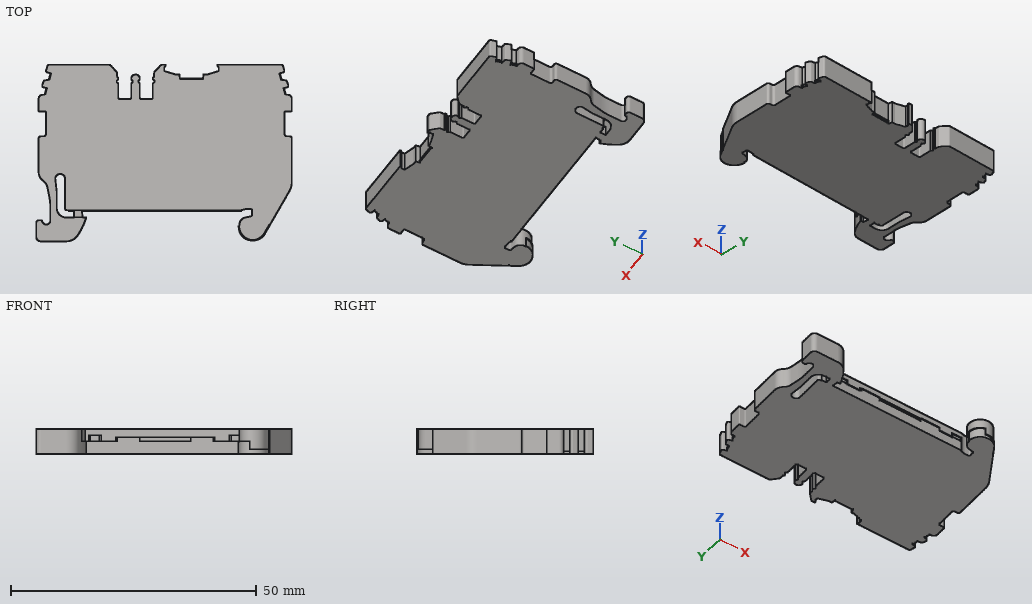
import cadquery as cq
import math

LENGTH = 52.18
DEPTH = 36.07
THICKNESS = 5.15
BODY_HALF = 25.84
TOP_Y = DEPTH / 2
BOTTOM_Y = -DEPTH / 2
SMALL_ROUND = 0.2
FOOT_END_X = BODY_HALF - LENGTH

PARTING_Z = 2.62
WEB_Z = 0.62
LEDGE = 0.16

TOOTH_STEP = (0.84, -3.02)
TOOTH_COUNT = 2
TOOTH_TIP = (24.42, 16.5)
GROOVE_TOP = (23.25, 16.2)
GROOVE_BOTTOM = (23.6, 14.98)
NEXT_TOOTH_TOP = (24.73, 14.82)
TOOTH_ROUND = 0.4
SHOULDER_ROUND = 0.85
TOP_CORNER = (23.95, TOP_Y)
SIDE_RECESS_X = 24.33
SIDE_RECESS_TOP = 8.47
SIDE_RECESS_BOTTOM = 3.44
SIDE_RECESS_ROUND = 0.5

SLOTS_X = -6.05
SLOT_OUTER = 3.5
MOUTH_TOP = (5.25, TOP_Y)
MOUTH_THROAT = (3.78, 16.5)
MOUTH_END = (3.72, 15.5)
MOUTH_ROUND = 0.4
SLOT_BUMP = (SLOT_OUTER, 15.35)
SLOT_FLOOR_Y = 11.03
SLOT_ROUND = 0.25
POST_HALF = 0.9
POST_TOP_Y = 16.02
POST_ROUND = 0.85
SNAP_Y = 14.6
SNAP_HALF_MOUTH = 0.42
SNAP_HALF_FLOOR = 0.15
SNAP_DEPTH = 0.33
POST_SNAP_DEPTH = 0.25

SEAT_X = 5.35
SEAT_FLOOR_Y = 15.06
SEAT_FLOOR_HALF = 2.3
SEAT_STEP_Y = 16.02
SEAT_STEP_HALF = 2.45
SEAT_RAMP_FOOT = 3.2
SEAT_RAMP_TOP_Y = 16.74
SEAT_UNDERCUT_HALF = 5.53
SEAT_UNDERCUT_TOP_Y = 17.5
SEAT_LIP_HALF = 5.24
SEAT_LIP_Y = 17.75

RAIL_Y = -11.68
FOOT_TOP_Y = -13.13
FOOT_TIP_X = -16.11
FOOT_TIP_Y = -13.3
FOOT_CURVE = (-16.82, -15.3)
FOOT_CURVE_ROUND = 14.0
FOOT_BEND = (-17.05, -15.45)
FOOT_CUT_TOP_Y = -13.6
FOOT_NOSE = (-18.7, BOTTOM_Y)
FOOT_NOSE_ROUND = 2.8
SLIT_RIGHT_X = -20.45
SLIT_END_Y = -4.3
SLIT_ROUND = 0.9
SLIT_LEFT_X = -22.5
SLIT_FLARE_Y = -7.8
RAIL_CORNER_ROUND = 0.4
ARM_INNER_X = -22.1
ARM_OUTER_X = -23.45
CATCH_FLOOR_Y = -14.55
CATCH_FLOOR_X = -24.95
CATCH_MOUTH_X = -25.15
CATCH_INNER_ROUND = 0.75
CATCH_OUTER_ROUND = 0.9
FOOT_SHELF_Y = -13.65
FOOT_SHELF_ROUND = 0.65
FOOT_HEEL_ROUND = 1.0
ARM_ROOT_ROUND = 1.95
ARM_CURVE_Y = -9.97
ARM_CURVE_ROUND = 10.5
ARM_SHOULDER = (-24.2, -6.2)
ARM_SHOULDER_ROUND = 2.2
END_FACE_FOOT_Y = -4.96
RAIL_END_X = 15.5

HOOK_CENTER = (17.83, -14.97)
HOOK_RADIUS = 2.74
HOOK_OUTER_RADIUS = HOOK_RADIUS + LEDGE
HOOK_SLANT = math.radians(60)
HOOK_THROAT_X = 17.67
HOOK_THROAT_TOP = -11.45
HOOK_RAMP_X = 16.4
HOOK_THROAT_BOTTOM = -12.83
HOOK_LIP_Y = -13.38
HOOK_LIP_ROUND = 1.6
HOOK_SHOULDER_ROUND = 4.0
HOOK_WINDOW_X = (17.2, 21.31)
HOOK_WINDOW_Z = 0.98

LEDGE_START_X = -19.7
TAB_HALF = 10.06
TAB_TOP_Z = 3.42
TAB_BEVEL = 0.3
TAB_GAP_HALF = 5.2
POCKET_NEAR_X = 13.09
POCKET_FAR_X = 15.6
POCKET_TOP_Z = 3.83
POCKET_BEVEL = 0.33
STRUT_ROOT_X = (-18.62, -16.98)
STRUT_FOOT_X = (-18.62, -16.8)

TOUCHING = 1e-6


def toward(start, end, distance):
    """Point at the given distance from start along the line to end."""
    ratio = distance / math.hypot(end[0] - start[0], end[1] - start[1])
    return (start[0] + ratio * (end[0] - start[0]), start[1] + ratio * (end[1] - start[1]))


def prism(corners, bottom, top):
    """Extruded polygon; a corner (x, y, radius) is rounded, a corner (x, y) is sharp."""
    path = cq.Workplane("XY", (0, 0, bottom))
    last = None
    for i, corner in enumerate(corners):
        point = corner[:2]
        start = end = point
        if len(corner) == 3:
            radius = corner[2]
            before = corners[i - 1][:2]
            after = corners[(i + 1) % len(corners)][:2]
            unit_in = toward(point, before, 1)
            unit_out = toward(point, after, 1)
            half_angle = math.asin(math.dist(unit_in, unit_out) / 2)
            run = radius / math.tan(half_angle)
            start = toward(point, before, run)
            end = toward(point, after, run)
            bisector = ((unit_in[0] + unit_out[0]) / 2, (unit_in[1] + unit_out[1]) / 2)
            middle = toward(point, bisector, radius / math.sin(half_angle) - radius)
        if last is None:
            path = path.moveTo(*start)
        elif math.dist(last, start) > TOUCHING:
            path = path.lineTo(*start)
        if end != start:
            path = path.threePointArc(middle, end)
        last = end
    return path.close().extrude(top - bottom)


def box(x_range, y_range, z_range):
    """Axis-aligned block between the given limits."""
    sizes = [high - low for low, high in (x_range, y_range, z_range)]
    return cq.Workplane("XY", (x_range[0], y_range[0], z_range[0])).box(*sizes, centered=False)


def mirrored(corners):
    """Corners reflected in the line X = 0, in reverse order."""
    return [(-c[0], *c[1:]) for c in reversed(corners)]


def shifted(corners, offset):
    """Corners moved along X."""
    return [(c[0] + offset, *c[1:]) for c in corners]


def tooth_offset(point, index):
    """Point of the first tooth moved to the tooth with the given index."""
    return (point[0] + index * TOOTH_STEP[0], point[1] + index * TOOTH_STEP[1])


def end_profile():
    """Right end from the top down to the lower corner of the side recess."""
    corners = [(*TOP_CORNER, TOOTH_ROUND)]
    for i in range(TOOTH_COUNT):
        corners.append((*tooth_offset(TOOTH_TIP, i), TOOTH_ROUND))
        corners.append(tooth_offset(GROOVE_TOP, i))
        corners.append(tooth_offset(GROOVE_BOTTOM, i))
        if i < TOOTH_COUNT - 1:
            corners.append((*tooth_offset(NEXT_TOOTH_TOP, i), TOOTH_ROUND))
    corners += [
        (BODY_HALF, tooth_offset(NEXT_TOOTH_TOP, TOOTH_COUNT - 1)[1], SHOULDER_ROUND),
        (BODY_HALF, SIDE_RECESS_TOP, SMALL_ROUND),
        (SIDE_RECESS_X, SIDE_RECESS_TOP, SMALL_ROUND),
        (SIDE_RECESS_X, SIDE_RECESS_BOTTOM, SIDE_RECESS_ROUND),
        (BODY_HALF, SIDE_RECESS_BOTTOM, SIDE_RECESS_ROUND),
    ]
    return corners


def snap_groove(wall_x, floor_x):
    """Small groove in a slot wall, from its upper to its lower edge."""
    return [
        (wall_x, SNAP_Y + SNAP_HALF_MOUTH),
        (floor_x, SNAP_Y + SNAP_HALF_FLOOR),
        (floor_x, SNAP_Y - SNAP_HALF_FLOOR),
        (wall_x, SNAP_Y - SNAP_HALF_MOUTH),
    ]


def slots_profile():
    """Both slots and the post between them, from left to right."""
    wall = [
        (*MOUTH_TOP, MOUTH_ROUND),
        (*MOUTH_THROAT, MOUTH_ROUND),
        MOUTH_END,
        SLOT_BUMP,
    ]
    wall += snap_groove(SLOT_OUTER, SLOT_OUTER + SNAP_DEPTH)
    wall += [(SLOT_OUTER, SLOT_FLOOR_Y, SLOT_ROUND), (POST_HALF, SLOT_FLOOR_Y, SLOT_ROUND)]
    wall += reversed(snap_groove(POST_HALF, POST_HALF - POST_SNAP_DEPTH))
    wall += [(POST_HALF, POST_TOP_Y, POST_ROUND)]
    return shifted(mirrored(wall[::-1]) + wall[::-1], SLOTS_X)


def seat_profile():
    """Marker seat, from left to right."""
    right = [
        (SEAT_FLOOR_HALF, SEAT_FLOOR_Y),
        (SEAT_STEP_HALF, SEAT_STEP_Y),
        (SEAT_RAMP_FOOT, SEAT_STEP_Y),
        (SEAT_UNDERCUT_HALF, SEAT_RAMP_TOP_Y),
        (SEAT_UNDERCUT_HALF, SEAT_UNDERCUT_TOP_Y),
        (SEAT_LIP_HALF, SEAT_LIP_Y),
        (SEAT_LIP_HALF, TOP_Y),
    ]
    return shifted(mirrored(right) + right, SEAT_X)


def hook_back(radius, x):
    """Point at the given X on the straight back, tangent to a hook of the given radius."""
    normal = (math.sin(HOOK_SLANT), -math.cos(HOOK_SLANT))
    touch = (HOOK_CENTER[0] + radius * normal[0], HOOK_CENTER[1] + radius * normal[1])
    return (x, touch[1] + (x - touch[0]) * math.tan(HOOK_SLANT))


def hook_bottom(radius):
    """Corner where the straight back meets the level of the hook's lowest point."""
    y = HOOK_CENTER[1] - radius
    back = hook_back(radius, HOOK_CENTER[0])
    return (HOOK_CENTER[0] + (y - back[1]) / math.tan(HOOK_SLANT), y, radius)


def hook_profile():
    """Hook from the right end face round to the rail face."""
    front_x = HOOK_CENTER[0] - HOOK_RADIUS
    return [
        (*hook_back(HOOK_OUTER_RADIUS, BODY_HALF), HOOK_SHOULDER_ROUND),
        hook_back(HOOK_OUTER_RADIUS, HOOK_WINDOW_X[1]),
        hook_back(HOOK_RADIUS, HOOK_WINDOW_X[1] - LEDGE),
        hook_bottom(HOOK_RADIUS),
        (front_x, HOOK_CENTER[1] - HOOK_RADIUS, HOOK_RADIUS),
        (front_x, HOOK_LIP_Y, HOOK_LIP_ROUND),
        (HOOK_THROAT_X, HOOK_THROAT_BOTTOM, SMALL_ROUND),
        (HOOK_THROAT_X, HOOK_THROAT_TOP, SMALL_ROUND),
        (HOOK_RAMP_X, HOOK_THROAT_TOP),
        (RAIL_END_X, RAIL_Y),
    ]


def foot_profile():
    """Slit, snap foot and flexible arm, from the rail face round to the left end face."""
    return [
        (SLIT_RIGHT_X, RAIL_Y, RAIL_CORNER_ROUND),
        (SLIT_RIGHT_X, SLIT_END_Y, SLIT_ROUND),
        (SLIT_LEFT_X, SLIT_END_Y, SLIT_ROUND),
        (ARM_INNER_X, SLIT_FLARE_Y),
        (ARM_INNER_X, FOOT_TOP_Y, ARM_ROOT_ROUND),
        (FOOT_TIP_X, FOOT_TOP_Y),
        (FOOT_TIP_X, FOOT_TIP_Y),
        (*FOOT_CURVE, FOOT_CURVE_ROUND),
        (*FOOT_NOSE, FOOT_NOSE_ROUND),
        (FOOT_END_X, BOTTOM_Y, FOOT_HEEL_ROUND),
        (FOOT_END_X, FOOT_SHELF_Y, FOOT_SHELF_ROUND),
        (CATCH_MOUTH_X, FOOT_SHELF_Y, SMALL_ROUND),
        (CATCH_FLOOR_X, CATCH_FLOOR_Y, CATCH_OUTER_ROUND),
        (ARM_OUTER_X, CATCH_FLOOR_Y, CATCH_INNER_ROUND),
        (ARM_OUTER_X, ARM_CURVE_Y, ARM_CURVE_ROUND),
        (*ARM_SHOULDER, ARM_SHOULDER_ROUND),
        (-BODY_HALF, END_FACE_FOOT_Y, ARM_SHOULDER_ROUND),
    ]


def housing():
    """Full-thickness plate with the complete outline."""
    end = end_profile()
    outline = slots_profile() + seat_profile() + end + hook_profile() + foot_profile() + mirrored(end)
    return prism(outline, 0, THICKNESS)


def groove_webs():
    """Thin webs standing proud of the groove floors and the marker seat floor."""
    webs = box(
        (SEAT_X - SEAT_FLOOR_HALF, SEAT_X + SEAT_FLOOR_HALF),
        (SEAT_FLOOR_Y - LEDGE, SEAT_FLOOR_Y + LEDGE),
        (0, WEB_Z),
    )
    for i in range(TOOTH_COUNT):
        top = tooth_offset(GROOVE_TOP, i)
        bottom = tooth_offset(GROOVE_BOTTOM, i)
        web = shifted([top, bottom], LEDGE) + shifted([bottom, top], -LEDGE)
        webs = webs.union(prism(web, 0, WEB_Z)).union(prism(mirrored(web), 0, WEB_Z))
    return webs


def rail_ledge():
    """Proud lower half of the rail face, with a higher bevelled tab in the middle."""
    y_range = (RAIL_Y - LEDGE, RAIL_Y + LEDGE)
    ledge = box((LEDGE_START_X, RAIL_END_X), y_range, (0, PARTING_Z))
    front_half = TAB_HALF - TAB_BEVEL
    tab = [
        (-TAB_HALF, RAIL_Y),
        (-front_half, RAIL_Y - LEDGE),
        (front_half, RAIL_Y - LEDGE),
        (TAB_HALF, RAIL_Y),
    ]
    return ledge.union(prism(tab, 0, TAB_TOP_Z))


def tab_gap():
    """Gap in the middle of the tab, sunk slightly into the rail face."""
    y_range = (RAIL_Y - LEDGE, RAIL_Y + LEDGE)
    return box((-TAB_GAP_HALF, TAB_GAP_HALF), y_range, (PARTING_Z, TAB_TOP_Z))


def rail_pocket():
    """Shallow pocket above the parting level on the right, with bevelled side walls."""
    corners = [
        (POCKET_NEAR_X, RAIL_Y),
        (POCKET_NEAR_X + POCKET_BEVEL, RAIL_Y + LEDGE),
        (POCKET_FAR_X - POCKET_BEVEL, RAIL_Y + LEDGE),
        (POCKET_FAR_X, RAIL_Y),
    ]
    return prism(corners, PARTING_Z, POCKET_TOP_Z)


def foot_cut():
    """Relief that sets the tip of the foot back above the parting level."""
    cut_x = FOOT_TIP_X - LEDGE
    corners = [
        FOOT_BEND,
        (cut_x, FOOT_CUT_TOP_Y),
        (cut_x, FOOT_TOP_Y),
        (FOOT_TIP_X, FOOT_TOP_Y),
        (FOOT_TIP_X, FOOT_BEND[1]),
    ]
    return prism(corners, PARTING_Z, THICKNESS)


def strut():
    """Bar joining the foot to the rail face below the parting level."""
    corners = [
        (STRUT_ROOT_X[0], RAIL_Y),
        (STRUT_ROOT_X[1], RAIL_Y),
        (STRUT_FOOT_X[1], FOOT_TOP_Y),
        (STRUT_FOOT_X[0], FOOT_TOP_Y),
    ]
    return prism(corners, 0, PARTING_Z)


def hook_ledge():
    """Proud lower half of the hook, interrupted by a window."""
    radius = HOOK_OUTER_RADIUS
    front_x = HOOK_CENTER[0] - radius
    ledge = prism(
        [
            hook_back(radius, HOOK_WINDOW_X[1]),
            hook_bottom(radius),
            (front_x, HOOK_CENTER[1] - radius, radius),
            (front_x, HOOK_CENTER[1]),
            HOOK_CENTER,
        ],
        0,
        PARTING_Z,
    )
    window = box(HOOK_WINDOW_X, (BOTTOM_Y, HOOK_CENTER[1] + HOOK_RADIUS), (HOOK_WINDOW_Z, PARTING_Z))
    return ledge.cut(window)


proud_parts = (groove_webs(), rail_ledge(), strut(), hook_ledge())
pockets = (rail_pocket(), rail_pocket().mirror("YZ"), tab_gap(), foot_cut())

result = housing()
for proud_part in proud_parts:
    result = result.union(proud_part)
for pocket in pockets:
    result = result.cut(pocket)
result = result.translate((LENGTH / 2 - BODY_HALF, 0, 0))